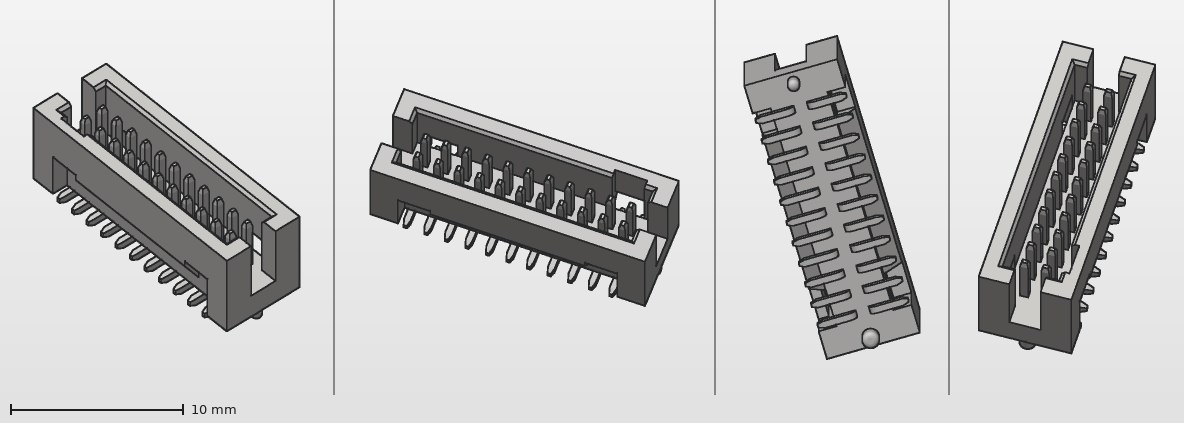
import cadquery as cq

body_length = 16.97
body_width = 5.6
body_height = 5.67
floor_height = 1.68

cavity_length = 14.55
cavity_width = 3.43
mouth_chamfer = 0.2
end_slot_width = 1.88

recess_length = 13.53
recess_height = 2.95
gusset_length = 9.55
gusset_foot_height = 0.97
gusset_top_height = 2.56

notch_depth = 0.45

contacts_per_row = 11
contact_row_span = 12.7
row_spacing = 1.27
contact_thickness = 0.4
contact_width = 0.5
contact_top = 5.09
contact_reach = 2.73
tip_length = 0.35
tip_thickness = 0.2
tip_width = 0.3

peg_length = 1.04
peg_rounding = 0.3
large_peg_diameter = 1.0
large_peg_x = -7.92
small_peg_diameter = 0.7
small_peg_x = 7.87

BASE = (True, True, False)


def make_block():
    """Outer block, standing on Z = 0."""
    return cq.Workplane("XY").box(body_length, body_width, body_height, centered=BASE)


def make_cavity():
    """Open-topped cavity with a flared mouth, plus the slot through both ends."""
    cavity_depth = body_height - floor_height
    floor = cq.Workplane("XY").workplane(offset=floor_height)
    cavity = floor.box(cavity_length, cavity_width, cavity_depth, centered=BASE)
    mouth = (
        cq.Workplane("XY")
        .workplane(offset=body_height - mouth_chamfer)
        .rect(cavity_length, cavity_width)
        .workplane(offset=mouth_chamfer)
        .rect(cavity_length + 2 * mouth_chamfer, cavity_width + 2 * mouth_chamfer)
        .loft(ruled=True)
    )
    end_slot = floor.box(body_length, end_slot_width, cavity_depth, centered=BASE)
    return cavity.union(mouth).union(end_slot)


def make_recess():
    """Space under the front wall, less the sloped gusset that carries the wall."""
    inner_y = -cavity_width / 2
    outer_y = -body_width / 2
    recess = cq.Workplane("XY").box(
        recess_length, inner_y - outer_y, recess_height, centered=BASE
    ).translate((0, (inner_y + outer_y) / 2, 0))
    gusset = (
        cq.Workplane("YZ")
        .polyline([
            (inner_y, gusset_foot_height),
            (outer_y, gusset_top_height),
            (outer_y, recess_height),
            (inner_y, recess_height),
        ])
        .close()
        .extrude(gusset_length / 2, both=True)
    )
    return recess.cut(gusset)


def make_notch():
    """Notch in the inner face of the front wall, above the left-hand window."""
    window_length = (recess_length - gusset_length) / 2
    window_x = -(recess_length + gusset_length) / 4
    return (
        cq.Workplane("XY")
        .workplane(offset=floor_height)
        .center(window_x, -(cavity_width + notch_depth) / 2)
        .box(window_length, notch_depth, body_height - floor_height, centered=BASE)
    )


def make_tip(plane):
    """Tapered contact tip growing out of the given plane."""
    return (
        cq.Workplane(plane)
        .rect(contact_thickness, contact_width)
        .workplane(offset=tip_length)
        .rect(tip_thickness, tip_width)
        .loft(ruled=True)
    )


def make_contact():
    """L-shaped contact of the front row: upright pin, rounded bend, foot under the housing."""
    pin_y = -row_spacing / 2
    pin_inner_y = pin_y + contact_width / 2
    shoulder_y = -(contact_reach - tip_length)
    shoulder_z = contact_top - tip_length

    upright = cq.Workplane("XY").box(
        contact_thickness, contact_width, shoulder_z + contact_width, centered=BASE
    ).translate((0, pin_y, -contact_width))
    foot = cq.Workplane("XY").box(
        contact_thickness, pin_inner_y - shoulder_y, contact_width, centered=BASE
    ).translate((0, (pin_inner_y + shoulder_y) / 2, -contact_width))
    bend_radius = contact_width
    angle = upright.union(foot).edges("|X and >Y and <Z").fillet(bend_radius)

    pin_tip = make_tip(cq.Plane((0, pin_y, shoulder_z)))
    foot_plane = cq.Plane((0, shoulder_y, -contact_width / 2), xDir=(1, 0, 0), normal=(0, -1, 0))
    foot_tip = make_tip(foot_plane)
    return angle.union(pin_tip).union(foot_tip)


def make_peg(x, diameter):
    """Locating peg with a rounded end, hanging below the housing."""
    return (
        cq.Workplane("XY")
        .center(x, 0)
        .circle(diameter / 2)
        .extrude(-peg_length)
        .faces("<Z")
        .edges()
        .fillet(peg_rounding)
    )


recess = make_recess()
result = make_block().cut(make_cavity()).cut(recess).cut(recess.mirror("XZ")).cut(make_notch())

contact_pitch = contact_row_span / (contacts_per_row - 1)
front_contact = make_contact()
back_contact = front_contact.mirror("XZ")
for index in range(contacts_per_row):
    contact_x = index * contact_pitch - contact_row_span / 2
    for contact in (front_contact, back_contact):
        result = result.union(contact.translate((contact_x, 0, 0)))

result = result.union(make_peg(large_peg_x, large_peg_diameter))
result = result.union(make_peg(small_peg_x, small_peg_diameter))